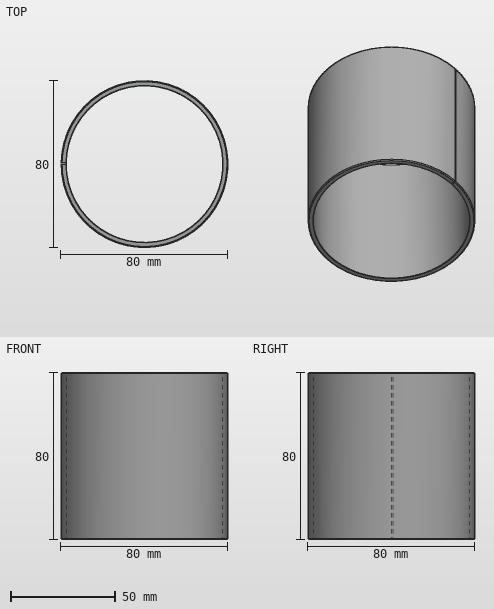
import cadquery as cq

outer_diameter = 80.0
wall_thickness = 2.5
length = 80.0

outer_chamfer = 0.5
inner_chamfer = 0.2

gap_angle = 1.0

outer_radius = outer_diameter / 2
inner_radius = outer_radius - wall_thickness
half_length = length / 2


def make_wall_section():
    """Chamfered wall section in the XZ plane, on the -X side of the axis."""
    outer_end = half_length - outer_chamfer
    bore_end = half_length - inner_chamfer
    face_outer = outer_radius - outer_chamfer
    face_inner = inner_radius + inner_chamfer
    return (
        cq.Workplane("XZ")
        .moveTo(-inner_radius, -bore_end)
        .lineTo(-face_inner, -half_length)
        .lineTo(-face_outer, -half_length)
        .lineTo(-outer_radius, -outer_end)
        .lineTo(-outer_radius, outer_end)
        .lineTo(-face_outer, half_length)
        .lineTo(-face_inner, half_length)
        .lineTo(-inner_radius, bore_end)
        .close()
    )


def make_bush():
    """Sweep the wall around +Z, stopping short of a full turn to leave the gap."""
    axis_start = (0, 0, 0)
    axis_end = (0, 1, 0)
    return make_wall_section().revolve(360 - gap_angle, axis_start, axis_end)


result = make_bush()